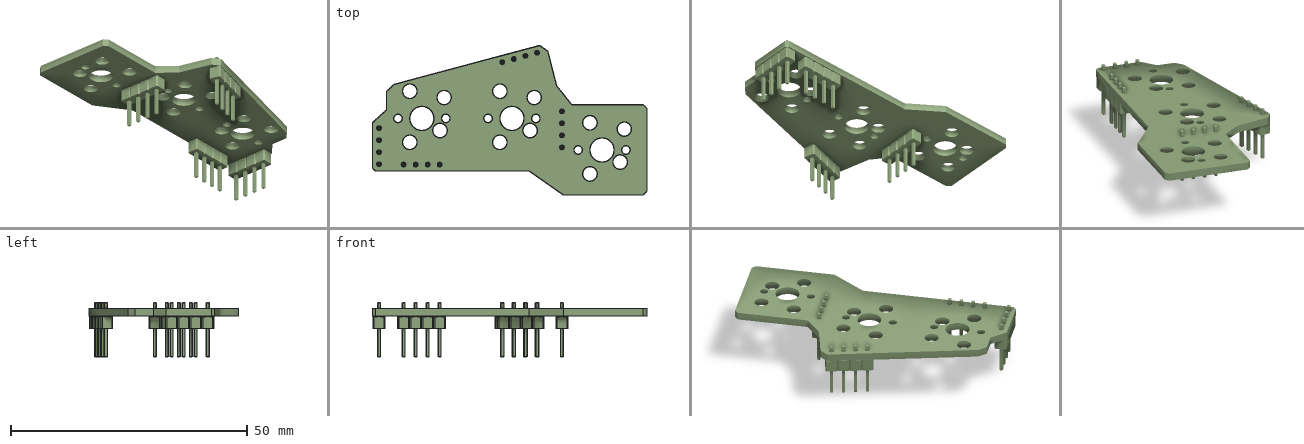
import cadquery as cq
import math


board_thickness = 1.6
board_length = 58.1
board_width = 31.65
left_part_front = 5.05
right_part_back = 19.1
right_corner_cut = 0.8
front_left_cut = 0.65
left_step_x = 2.95
slant_angle = 15
slant_start_x = 4.55
peak_x = 35.3

switch_pitch = 19.05
first_switch_x = 10.45
left_switch_y = 16.2
right_switch_drop = 6.7
switch_centers = [
    (first_switch_x, left_switch_y),
    (first_switch_x + switch_pitch, left_switch_y),
    (first_switch_x + 2 * switch_pitch, left_switch_y - right_switch_drop),
]
stem_hole_diameter = 5.05
peg_hole_diameter = 1.75
peg_offset = 5.05
socket_hole_diameter = 3.0
socket_hole_offsets = [(-2.55, 5.75), (-2.55, -5.05), (3.85, -2.55)]
small_socket_hole_diameter = 2.95
small_socket_hole_offset = (4.7, 4.4)

pin_count = 4
housing_length = 10.15
pin_pitch = housing_length / pin_count
housing_width = 2.55
housing_height = 2.55
housing_notch = 0.255
housing_gap = 0.1
pin_side = 0.65
pin_length = 11.55
pin_tail = 6.0
pin_tip_chamfer = 0.16
pin_hole_diameter = 1.0

headers = [
    (1.4, 10.35, 90),
    (10.4, 6.45, 0),
    (40.1, 13.9, 90),
    (31.15, 29.1, slant_angle),
]


def row_positions():
    """Pin positions along a row centered on the origin."""
    return [((i - (pin_count - 1) / 2) * pin_pitch, 0) for i in range(pin_count)]


def make_blank_board():
    slant_start_y = board_width - (peak_x - slant_start_x) * math.tan(math.radians(slant_angle))
    outline = [
        (front_left_cut, left_part_front),
        (33.15, left_part_front),
        (40.35, 0),
        (board_length - right_corner_cut, 0),
        (board_length, right_corner_cut),
        (board_length, right_part_back - right_corner_cut),
        (board_length - right_corner_cut, right_part_back),
        (42.15, right_part_back),
        (39.0, 23.1),
        (37.1, 30.45),
        (peak_x, board_width),
        (slant_start_x, slant_start_y),
        (left_step_x, 21.9),
        (left_step_x, 18.0),
        (0, 15.35),
        (0, left_part_front + front_left_cut),
    ]
    return cq.Workplane("XY").polyline(outline).close().extrude(board_thickness)


def drill(board, points, diameter):
    drills = cq.Workplane("XY").pushPoints(points).circle(diameter / 2).extrude(board_thickness)
    return board.cut(drills)


def drill_switch_holes(board, center):
    """Cut the stem hole, the two peg holes and the four socket holes of one switch."""
    x, y = center
    board = drill(board, [center], stem_hole_diameter)
    board = drill(board, [(x - peg_offset, y), (x + peg_offset, y)], peg_hole_diameter)
    socket_holes = [(x + dx, y + dy) for dx, dy in socket_hole_offsets]
    board = drill(board, socket_holes, socket_hole_diameter)
    small_dx, small_dy = small_socket_hole_offset
    return drill(board, [(x + small_dx, y + small_dy)], small_socket_hole_diameter)


def drill_pin_holes(board, x, y, direction):
    """Cut the clearance holes for one row of header pins."""
    drills = (
        cq.Workplane("XY")
        .transformed(offset=(x, y, 0), rotate=(0, 0, direction))
        .pushPoints(row_positions())
        .circle(pin_hole_diameter / 2)
        .extrude(board_thickness)
    )
    return board.cut(drills)


def make_header(x, y, direction):
    """One header: a row of notched housing cells joined to their square pins."""
    housing_bottom = -housing_gap - housing_height
    row = cq.Workplane("XY").transformed(
        offset=(x, y, housing_bottom), rotate=(0, 0, direction)
    )
    cells = (
        row.pushPoints(row_positions())
        .rect(pin_pitch, housing_width)
        .extrude(housing_height, combine=False)
    )
    header = cq.Workplane("XY")
    for cell in cells.vals():
        header = header.union(cq.Workplane(cell).edges("|Z").chamfer(housing_notch))
    pins = (
        row.workplane(offset=-pin_tail)
        .pushPoints(row_positions())
        .rect(pin_side, pin_side)
        .extrude(pin_length)
        .faces("<Z or >Z")
        .chamfer(pin_tip_chamfer)
    )
    return header.union(pins)


board = make_blank_board()
for switch_center in switch_centers:
    board = drill_switch_holes(board, switch_center)
for header_place in headers:
    board = drill_pin_holes(board, *header_place)

pin_headers = [make_header(*header_place) for header_place in headers]

result = cq.Compound.makeCompound([board.val(), *[header.val() for header in pin_headers]])